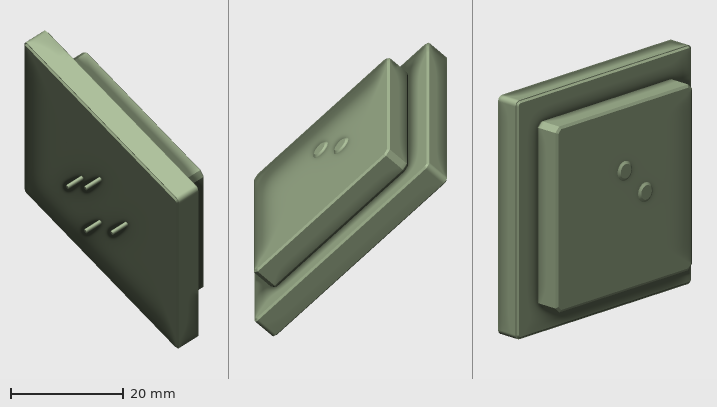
import cadquery as cq
import math

base_side = 45.0
base_thickness = 5.0
base_corner_radius = 1.0
base_rim_chamfer = 0.3
band_step = 0.2
patch_side = 35.0
patch_thickness = 5.0
patch_corner_cut = 1.0
rim_cut_long = 0.5
rim_cut_angle = math.radians(30)

pin_diameter = 0.8
pin_length = 3.4
near_pin_offset = 5.25
far_pin_offset = 7.65
bump_diameter = 3.7
bump_top_diameter = 2.7
total_depth = 13.72

rim_cut_short = rim_cut_long * math.tan(rim_cut_angle)

toward_back = cq.Vector(0, 1, 0)

base_back = base_thickness
patch_back = base_back + patch_thickness
bump_height = total_depth - pin_length - base_thickness - patch_thickness

near_pins = [(-near_pin_offset, 0), (0, near_pin_offset)]
far_pins = [(far_pin_offset, 0), (0, -far_pin_offset)]


def rounded_block(side, thickness, front, corner_radius):
    """Square block with rounded corners, centred on the Y axis, reaching from Y = front toward +Y."""
    centre = (0, front + thickness / 2, 0)
    block = cq.Workplane("XY").box(side, thickness, side).translate(centre)
    return block.edges("|Y").fillet(corner_radius)


def make_base():
    """Chamfered core with a slightly proud band around its sides, between the two chamfers."""
    core_side = base_side - 2 * band_step
    core = rounded_block(core_side, base_thickness, 0, base_corner_radius - band_step)
    core = core.faces("<Y or >Y").edges().chamfer(base_rim_chamfer)
    band_thickness = base_thickness - 2 * base_rim_chamfer
    band = rounded_block(base_side, band_thickness, base_rim_chamfer, base_corner_radius)
    return core.union(band)


def cut_corner_outline(inset, y):
    """Closed square outline with cut corners at level Y = y, drawn in by inset on every side."""
    half = patch_side / 2 - inset
    half_corner_turn = math.radians(45) / 2
    straight = patch_side / 2 - patch_corner_cut - inset * math.tan(half_corner_turn)
    points = []
    for quarter in range(4):
        turn = math.pi / 2 * quarter
        for along in (-straight, straight):
            x = half * math.cos(turn) - along * math.sin(turn)
            z = half * math.sin(turn) + along * math.cos(turn)
            points.append(cq.Vector(x, y, z))
    return cq.Wire.makePolygon(points, close=True)


def make_patch():
    """Smaller plate with cut corners, on the back of the base, narrowing toward both faces."""
    outlines = [
        cut_corner_outline(rim_cut_short, base_back),
        cut_corner_outline(0, base_back + rim_cut_long),
        cut_corner_outline(0, patch_back - rim_cut_short),
        cut_corner_outline(rim_cut_long, patch_back),
    ]
    return cq.Workplane(cq.Solid.makeLoft(outlines, ruled=True))


def make_pin(x, z):
    """Round pin standing out of the front of the base toward -Y."""
    start = cq.Vector(x, -pin_length, z)
    return cq.Solid.makeCylinder(pin_diameter / 2, pin_length, start, toward_back)


def make_bump(x, z):
    """Low tapered bump on the back of the patch."""
    start = cq.Vector(x, patch_back, z)
    return cq.Solid.makeCone(
        bump_diameter / 2, bump_top_diameter / 2, bump_height, start, toward_back
    )


result = make_base().union(make_patch())
for x, z in near_pins + far_pins:
    result = result.union(cq.Workplane(make_pin(x, z)))
for x, z in near_pins:
    result = result.union(cq.Workplane(make_bump(x, z)))